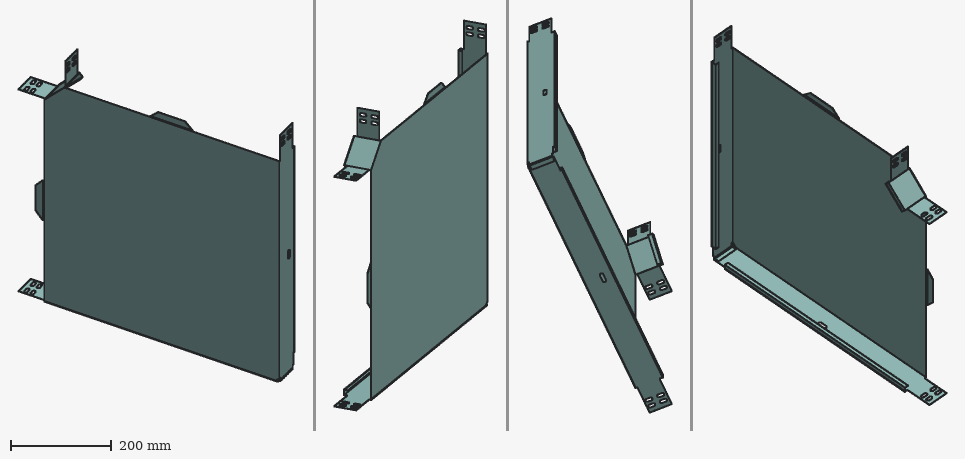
import cadquery as cq
import math

SIZE = 604.0
DEPTH = 61.0
SHEET = 1.0

TAB_REACH = 61.5
FLOOR_SIDE = SIZE - TAB_REACH
INNER_BEVEL = 46.0
OUTER_BEVEL = 9.0

LIP_TOP = DEPTH - SHEET
PLAIN_TOP = 56.0
LIP_WIDTH = 12.0
LIP_LEG = 9.0
LIP_END = 566.5
WALL_END_GAP = 3.0
WALL_SLOT_CENTRE = (313.5, 38.5)
WALL_SLOT_LENGTH = 20.5
WALL_SLOT_WIDTH = 7.0

TAB_BOTTOM = 4.0
TAB_TOP = 52.5
TAB_SLOT_LENGTH = 14.5
TAB_SLOT_WIDTH = 6.5
TAB_SLOT_FIRST = 13.0
TAB_SLOT_LEVEL = 27.0
TAB_SLOT_PITCH = (14.0, 25.5)

TONGUE_CENTRE = 356.0
TONGUE_BASE = 98.0
TONGUE_TIP = 61.5
TONGUE_REACH = 19.5
TONGUE_STEP = 3.0

FLAP_WIDTH = 14.0
FLAP_BOTTOM = 4.0
FLAP_TOP = 54.0


def block(x_range, y_range, z_range):
    """Axis-aligned box given by its limits along each axis."""
    lows, highs = zip(x_range, y_range, z_range)
    sizes = [high - low for low, high in zip(lows, highs)]
    return cq.Workplane("XY").box(*sizes, centered=False).translate(lows)


def plate(points, y_low, y_high):
    """Flat plate with an outline of (x, z) points between two Y levels."""
    return cq.Workplane("XZ", origin=(0, y_low, 0)).polyline(points).close().extrude(y_low - y_high)


def mirrored(body):
    """Copy reflected in the diagonal plane x + z = SIZE."""
    return body.mirror(cq.Vector(1, 0, 1), (0, 0, SIZE))


def lipped_wall(start, inward, along, length):
    """Wall with its top folded inward and back down, extruded along its run."""
    section = [
        (0, 0),
        (0, LIP_TOP),
        (LIP_WIDTH, LIP_TOP),
        (LIP_WIDTH, LIP_TOP - LIP_LEG),
        (LIP_WIDTH - SHEET, LIP_TOP - LIP_LEG),
        (LIP_WIDTH - SHEET, LIP_TOP - SHEET),
        (SHEET, LIP_TOP - SHEET),
        (SHEET, 0),
    ]
    frame = cq.Plane(origin=start, xDir=inward, normal=along)
    return cq.Workplane(frame).polyline(section).close().extrude(length)


def joining_tab(z_low):
    """Slotted tab reaching out in -X from a wall whose lower face is at z_low."""
    body = block((0, TAB_REACH + SHEET), (TAB_BOTTOM, TAB_TOP), (z_low, z_low + SHEET))
    pitch_x, pitch_y = TAB_SLOT_PITCH
    slots = (
        cq.Workplane("XY", origin=(TAB_SLOT_FIRST + pitch_x / 2, TAB_SLOT_LEVEL, z_low))
        .rarray(pitch_x, pitch_y, 2, 2)
        .slot2D(TAB_SLOT_LENGTH, TAB_SLOT_WIDTH, 90)
        .extrude(SHEET)
    )
    return body.cut(slots)


def outer_wall(corner_gap):
    """Long wall along the lower edge: lipped over most of its length, plain near the corner.

    The wall stops corner_gap short of the outer corner.
    """
    plain = block((TAB_REACH, SIZE - corner_gap), (0, PLAIN_TOP), (0, SHEET))
    lipped = lipped_wall((LIP_END, 0, 0), (0, 0, 1), (-1, 0, 0), LIP_END - TAB_REACH)
    slot = (
        cq.Workplane("XY")
        .center(*WALL_SLOT_CENTRE)
        .slot2D(WALL_SLOT_LENGTH, WALL_SLOT_WIDTH)
        .extrude(SHEET)
    )
    return plain.union(lipped).cut(slot).union(joining_tab(0))


def support_tongue():
    """Tongue on the upper floor edge, joined to it by a narrow sloping step."""
    half_base = TONGUE_BASE / 2
    half_tip = TONGUE_TIP / 2
    edge = FLOOR_SIDE
    root = edge + TONGUE_STEP
    tip = edge + TONGUE_REACH
    outline = [
        (TONGUE_CENTRE - half_base, root),
        (TONGUE_CENTRE - half_tip, tip),
        (TONGUE_CENTRE + half_tip, tip),
        (TONGUE_CENTRE + half_base, root),
    ]
    step_section = [(0, edge), (SHEET, edge), (0, root), (-SHEET, root)]
    step = (
        cq.Workplane("YZ", origin=(TONGUE_CENTRE - half_base, 0, 0))
        .polyline(step_section)
        .close()
        .extrude(TONGUE_BASE)
    )
    return plate(outline, -SHEET, 0).union(step)


def floor():
    """Square floor with a large bevel at the inner corner and a small relief at the outer one."""
    outline = [
        (TAB_REACH, 0),
        (SIZE - OUTER_BEVEL, 0),
        (SIZE, OUTER_BEVEL),
        (SIZE, FLOOR_SIDE),
        (TAB_REACH + INNER_BEVEL, FLOOR_SIDE),
        (TAB_REACH, FLOOR_SIDE - INNER_BEVEL),
    ]
    return plate(outline, 0, SHEET)


def inner_wall():
    """Slanted lipped wall along the inner bevel."""
    start = (TAB_REACH, 0, FLOOR_SIDE - INNER_BEVEL)
    return lipped_wall(start, (1, 0, -1), (1, 0, 1), INNER_BEVEL * math.sqrt(2))


def corner_flap():
    """Flap at the end of the right wall, folded onto the inside of the lower wall."""
    y_range = (FLAP_BOTTOM, FLAP_TOP)
    wall_part = block((SIZE - SHEET, SIZE), y_range, (0, OUTER_BEVEL))
    folded_part = block((SIZE - FLAP_WIDTH, SIZE), y_range, (SHEET, 2 * SHEET))
    return wall_part.union(folded_part)


lower_wall = outer_wall(WALL_END_GAP)
right_wall = mirrored(outer_wall(OUTER_BEVEL))
result = floor().union(inner_wall()).union(lower_wall).union(right_wall).union(corner_flap())

inner_tab = joining_tab(FLOOR_SIDE - INNER_BEVEL - SHEET)
for feature in (support_tongue(), inner_tab):
    result = result.union(feature).union(mirrored(feature))